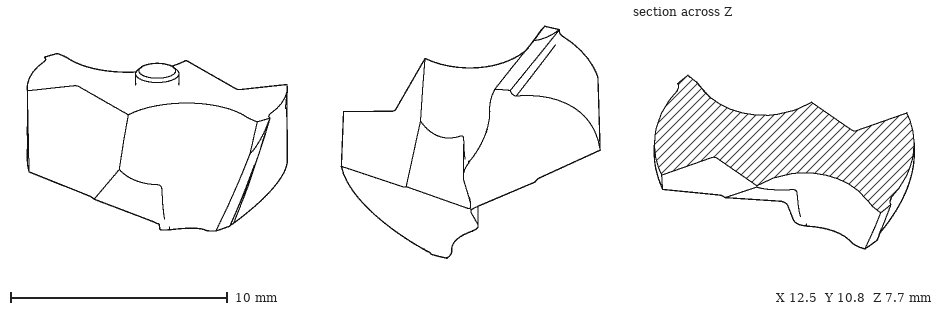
import cadquery as cq
import math


margin_radius = 6.25
body_radius = 6.0
tip_depth = 6.85
helix_lead = 70.0

margin_start_angle = 14.5
margin_end_angle = 20.9
step_end_angle = 24.6
step_sag = 0.05

flute_center = (4.82, -1.77)
flute_radius = 3.2
flute_inner_radius = 3.42
flute_lip_angle = 88.8
flute_seam_angle = 153.0
flute_inner_angle = 197.0
flute_open_x = 1.9
lip_bulge = 0.06

point_slope = 0.357
flank_slope = 0.392
land_slope = 0.08

flat_offset = 2.88
flat_tilt_angle = 1.5
heel_slope = 0.375
heel_lean = 0.185
heel_corner_radius = 0.2

gash_slope_x = 1.06
gash_slope_y = -1.0
gash_wall_angle = 34.0
gash_wall_offset = 1.0
gash_bend_center_x = 1.92
gash_bend_radius = 1.0
gash_bend_end_angle = -68.0
gash_wall_length = 3.5
gash_root_radius = 0.28

margin_flat_x = 5.84
margin_flat_angle = 15.0

pin_radius = 1.0
pin_height = 0.85
pin_chamfer = 0.15
pin_root_radius = 0.15

tool_size = 40.0
tip = (0, 0, -tip_depth)


def polar(radius, angle, center=(0, 0)):
    """Point at a radius and an angle in degrees about a center."""
    a = math.radians(angle)
    return (center[0] + radius * math.cos(a), center[1] + radius * math.sin(a))


def bulged_mid(start, end, bulge):
    """Midpoint of a chord moved by bulge to the left of its direction."""
    dx = end[0] - start[0]
    dy = end[1] - start[1]
    length = math.hypot(dx, dy)
    mid_x = (start[0] + end[0]) / 2
    mid_y = (start[1] + end[1]) / 2
    return (mid_x - bulge * dy / length, mid_y + bulge * dx / length)


def unchanged(point):
    return point


def opposite(point):
    """The point after half a turn about the Z axis."""
    return (-point[0], -point[1])


def half_space(origin, normal):
    """Large block on the side of a plane that its normal points to."""
    plane = cq.Plane(origin=origin, normal=normal)
    return cq.Workplane(plane).rect(tool_size, tool_size).extrude(tool_size)


def cut_twice(body, cutter):
    """Remove a cutter and its half-turn copy."""
    return body.cut(cutter).cut(cutter.rotate((0, 0, 0), (0, 0, 1), 180))


def helical_blank():
    """Cross-section of both teeth, twisted along Z at the helix lead."""
    margin_start = polar(margin_radius, margin_start_angle)
    margin_end = polar(margin_radius, margin_end_angle)
    margin_mid = polar(margin_radius, (margin_start_angle + margin_end_angle) / 2)
    step_end = polar(body_radius, step_end_angle)
    step_mid = bulged_mid(margin_end, step_end, step_sag)
    open_angle = math.degrees(math.acos(-flute_open_x / body_radius))
    body_end = polar(body_radius, open_angle)
    body_mid = polar(body_radius, (step_end_angle + open_angle) / 2)
    lip = polar(flute_radius, flute_lip_angle, flute_center)
    outer_mid = polar(flute_radius, (flute_lip_angle + flute_seam_angle) / 2, flute_center)
    seam = polar(flute_radius, flute_seam_angle, flute_center)
    inner_center = polar(flute_inner_radius - flute_radius, flute_seam_angle + 180, flute_center)
    inner_mid_angle = (flute_seam_angle + flute_inner_angle) / 2
    inner_mid = polar(flute_inner_radius, inner_mid_angle, inner_center)
    flute_inner = polar(flute_inner_radius, flute_inner_angle, inner_center)
    lip_mid = bulged_mid(lip, margin_start, -lip_bulge)

    twist = 360 * tip_depth / helix_lead
    outline = cq.Workplane("XY").workplane(offset=-tip_depth)
    outline = outline.transformed(rotate=(0, 0, -twist)).moveTo(*margin_start)
    for turn in (unchanged, opposite):
        outline = outline.threePointArc(turn(margin_mid), turn(margin_end))
        outline = outline.threePointArc(turn(step_mid), turn(step_end))
        outline = outline.threePointArc(turn(body_mid), turn(body_end))
        outline = outline.lineTo(*turn(opposite(flute_inner)))
        outline = outline.threePointArc(turn(opposite(inner_mid)), turn(opposite(seam)))
        outline = outline.threePointArc(turn(opposite(outer_mid)), turn(opposite(lip)))
        outline = outline.threePointArc(turn(opposite(lip_mid)), turn(opposite(margin_start)))
    return outline.close().twistExtrude(tip_depth, twist)


def point_cutters():
    """Space below the flank and the relief land of the -X tooth."""
    flank = half_space(tip, (-point_slope, -flank_slope, -1))
    land = half_space(tip, (-point_slope, -land_slope, -1))
    return [flank, land]


def straight_flute_cutter():
    """Open corner between the flat on the -Y side and the leaning heel plane."""
    tilt = math.radians(flat_tilt_angle)
    flat = half_space((0, -flat_offset, 0), (0, -math.cos(tilt), -math.sin(tilt)))
    heel = half_space(tip, (1, -heel_slope, heel_lean))
    corner_x = -heel_slope * flat_offset - heel_lean * tip_depth
    corner = cq.selectors.NearestToPointSelector((corner_x, -flat_offset, 0))
    return flat.intersect(heel).edges(corner).fillet(heel_corner_radius)


def gash_cutter():
    """Space below the gash floor and on the -Y side of its bent vertical wall."""
    bend_center = (gash_bend_center_x, gash_bend_radius - gash_wall_offset)
    bend_start = polar(gash_bend_radius, -90 - gash_wall_angle, bend_center)
    bend_mid = polar(gash_bend_radius, -90 - gash_wall_angle / 2, bend_center)
    bend_end = polar(gash_bend_radius, gash_bend_end_angle, bend_center)
    wall_start = polar(gash_wall_length, 180 - gash_wall_angle, bend_start)
    prism = (
        cq.Workplane("XY")
        .workplane(offset=-2 * tip_depth)
        .moveTo(*wall_start)
        .lineTo(*bend_start)
        .threePointArc(bend_mid, bend_end)
        .lineTo(bend_end[0], -tool_size / 4)
        .lineTo(wall_start[0], -tool_size / 4)
        .close()
        .extrude(4 * tip_depth)
    )
    cutter = prism.intersect(half_space(tip, (gash_slope_x, gash_slope_y, -1)))
    floor_z = -tip_depth + gash_slope_x * bend_mid[0] + gash_slope_y * bend_mid[1]
    root = cq.selectors.NearestToPointSelector((bend_mid[0], bend_mid[1], floor_z))
    return cutter.edges(root).fillet(gash_root_radius)


def margin_flat_cutter():
    """Space outside the sloped flat on the +X margin."""
    tilt = math.radians(margin_flat_angle)
    return half_space((margin_flat_x, 0, 0), (math.cos(tilt), 0, math.sin(tilt)))


def pin():
    """Chamfered pin with a concave root blending into the seat face."""
    root = pin_root_radius
    root_mid = (
        pin_radius + root * (1 - math.sqrt(0.5)),
        root * (1 - math.sqrt(0.5)),
    )
    return (
        cq.Workplane("XZ")
        .lineTo(pin_radius + root, 0)
        .threePointArc(root_mid, (pin_radius, root))
        .lineTo(pin_radius, pin_height - pin_chamfer)
        .lineTo(pin_radius - pin_chamfer, pin_height)
        .lineTo(0, pin_height)
        .close()
        .revolve(360, (0, 0, 0), (0, 1, 0))
    )


insert = helical_blank()
for cutter in point_cutters():
    insert = cut_twice(insert, cutter)
for cutter in (straight_flute_cutter(), gash_cutter(), margin_flat_cutter()):
    insert = cut_twice(insert, cutter)

result = insert.union(pin())